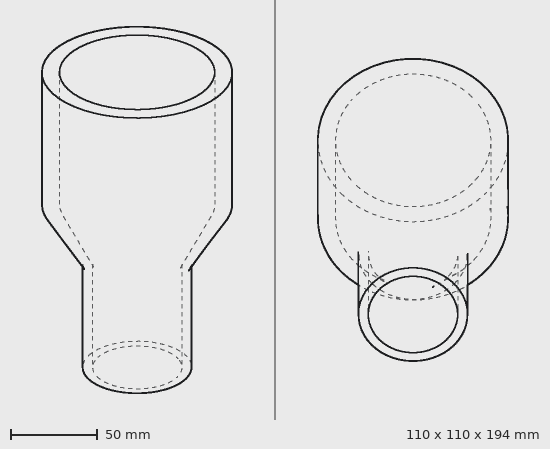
import cadquery as cq

total_height = 194.0
socket_outer_diameter = 110.0
socket_bore_diameter = 89.6
spigot_outer_diameter = 63.0
spigot_bore_diameter = 51.6
spigot_length = 69.0
socket_length = 87.1
edge_blend_radius = 2.0
selection_margin = 2.0

cone_bottom = spigot_length
cone_top = total_height - socket_length


def stepped_body(spigot_diameter, socket_diameter):
    """Solid of revolution: narrow cylinder, cone, wide cylinder, with blended cone ends."""
    spigot_radius = spigot_diameter / 2
    socket_radius = socket_diameter / 2
    body = (
        cq.Workplane("XZ")
        .polyline([
            (0, 0),
            (spigot_radius, 0),
            (spigot_radius, cone_bottom),
            (socket_radius, cone_top),
            (socket_radius, total_height),
            (0, total_height),
        ])
        .close()
        .revolve(360, (0, 0, 0), (0, 1, 0))
    )
    cone_ends = cq.selectors.BoxSelector(
        (-socket_radius, -socket_radius, cone_bottom - selection_margin),
        (socket_radius, socket_radius, cone_top + selection_margin),
    )
    return body.edges("%CIRCLE").edges(cone_ends).fillet(edge_blend_radius)


outside = stepped_body(spigot_outer_diameter, socket_outer_diameter)
bore = stepped_body(spigot_bore_diameter, socket_bore_diameter)
result = outside.cut(bore)